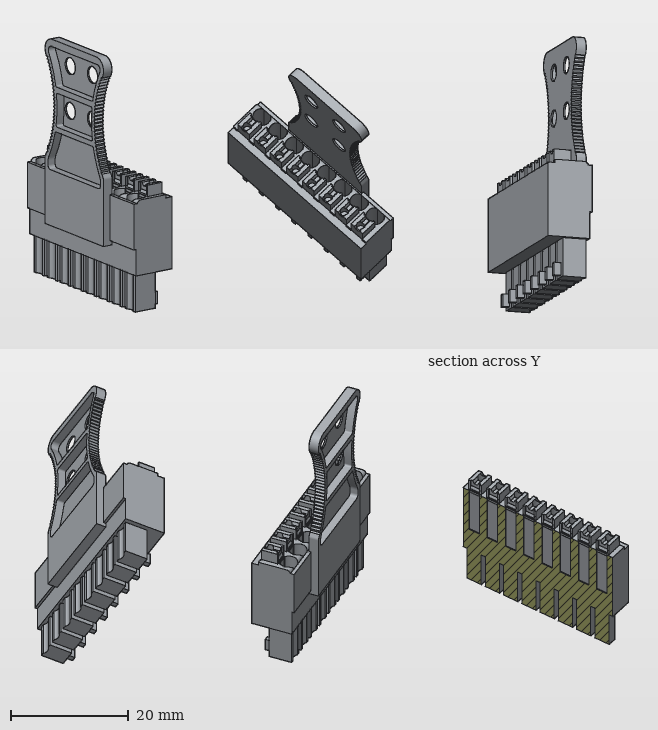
import cadquery as cq
import math


POLE_COUNT = 8
POLE_ROW_LENGTH = 26.7
POLE_PITCH = POLE_ROW_LENGTH / (POLE_COUNT - 1)
POLE_XS = [i * POLE_PITCH - POLE_ROW_LENGTH / 2 for i in range(POLE_COUNT)]

HOUSING_WIDTH = 31.25
HOUSING_BACK = 7.5
HOUSING_BOTTOM = 6.65
HOUSING_TOP = 20.0
FRONT_PAD_DEPTH = 0.45
FRONT_PAD_BOTTOM = 11.35
SHOULDER_DROP = 0.55
SHOULDER_Z = HOUSING_TOP - SHOULDER_DROP
BACK_SHOULDER_Y = 6.25
FRONT_ROUND_START = 1.0
FRONT_ROUND_RADIUS = 0.8
FRONT_ROUND_ANGLE = math.acos((FRONT_ROUND_RADIUS - SHOULDER_DROP) / FRONT_ROUND_RADIUS)
FRONT_ROUND_END = FRONT_ROUND_START - FRONT_ROUND_RADIUS * math.sin(FRONT_ROUND_ANGLE)

WIRE_HOLE_RADIUS = 1.55
WIRE_HOLE_Y = 1.6
WIRE_RECESS_WIDTH = 2.1
WIRE_RECESS_BACK = 2.95
WIRE_HOLE_DEPTH = 8.7

PRONG_WIDTH = 3.0
PRONG_FRONT = 0.4
PRONG_BACK = 4.58
GROOVE_WIDTH = 1.8
GROOVE_DEPTH = 0.35
CATCH_WIDTH = 0.87
CATCH_DEPTH = 1.2
CATCH_BOTTOM = 0.35
CATCH_TOP = 2.55

LEVER_WIDTH = 2.7
LEVER_FRONT = 3.1
LEVER_BACK = 6.1
LEVER_TOP = 22.0
CHANNEL_TOP_WIDTH = 1.2
CHANNEL_FLOOR_WIDTH = 0.65
CHANNEL_DEPTH = 0.52
TEST_HOLE_DIAMETER = 1.4
TEST_HOLE_Y = 5.2
TEST_HOLE_DEPTH = 1.75
NOTCH_WIDTH = 1.9
NOTCH_DEPTH = 0.25
NOTCH_BOTTOM = 20.27
NOTCH_SLOPE_TOP = 20.8

HANDLE_WIDTH = 17.2
HANDLE_THICKNESS = 1.8
HANDLE_BOTTOM = 10.5
HANDLE_TOP = 43.6
HANDLE_CORNER_RADIUS = 2.05
CORNER_END_Z = 40.55
LAND_END_X = 8.2

WAIST_HALF_WIDTH = 6.05
WAIST_RADIUS = 17.8
WAIST_Z = 31.83
WAIST_CENTER_X = WAIST_HALF_WIDTH + WAIST_RADIUS
TOOTH_COUNT = 27
TOOTHED_ARC_LENGTH = 17.2
TOOTH_HEIGHT = 0.3
TOOTH_ANGLE = TOOTHED_ARC_LENGTH / TOOTH_COUNT / WAIST_RADIUS
BLEND_INSET = 0.15
BLEND_RADIUS = WAIST_RADIUS + BLEND_INSET
BLEND_BEND_RADIUS = 0.8

POCKET_DEPTH = 1.5
POCKET_RIM_WIDTH = 1.0
POCKET_SIDE_RADIUS = WAIST_RADIUS + POCKET_RIM_WIDTH
UPPER_POCKET = (35.45, 42.3)
MIDDLE_POCKET = (28.4, 34.4)
LOWER_POCKET = (20.4, 27.45)
LOWER_POCKET_HALF_WIDTH = 7.67
POCKET_CORNER_RADIUS = 0.35
UPPER_POCKET_CORNER_RADIUS = 0.85
LOWER_POCKET_CORNER_RADIUS = 0.6
LOWER_POCKET_BEND_RADIUS = 1.75

HANDLE_HOLE_DIAMETER = 2.95
HANDLE_HOLE_X = 3.25
HANDLE_HOLE_ZS = (31.45, 39.35)


def box(x_center, width, y_min, y_max, z_min, z_max):
    """A block centred on x_center."""
    size = (width, y_max - y_min, z_max - z_min)
    corner = (x_center - width / 2, y_min, z_min)
    return cq.Workplane("XY").box(*size, centered=False).translate(corner)




def housing_block():
    """Stepped side profile, extruded across the full width."""
    half_angle = FRONT_ROUND_ANGLE / 2
    round_middle = (
        FRONT_ROUND_START - FRONT_ROUND_RADIUS * math.sin(half_angle),
        HOUSING_TOP - FRONT_ROUND_RADIUS * (1 - math.cos(half_angle)),
    )
    return (
        cq.Workplane("YZ", origin=(-HOUSING_WIDTH / 2, 0, 0))
        .moveTo(0, HOUSING_BOTTOM)
        .lineTo(HOUSING_BACK, HOUSING_BOTTOM)
        .lineTo(HOUSING_BACK, SHOULDER_Z)
        .lineTo(BACK_SHOULDER_Y, SHOULDER_Z)
        .lineTo(BACK_SHOULDER_Y, HOUSING_TOP)
        .lineTo(FRONT_ROUND_START, HOUSING_TOP)
        .threePointArc(round_middle, (FRONT_ROUND_END, SHOULDER_Z))
        .lineTo(-FRONT_PAD_DEPTH, SHOULDER_Z)
        .lineTo(-FRONT_PAD_DEPTH, FRONT_PAD_BOTTOM)
        .lineTo(0, FRONT_PAD_BOTTOM)
        .close()
        .extrude(HOUSING_WIDTH)
    )


def wire_hole(x):
    """Blind hole from above: round sides, flat front, square recess at the back."""
    floor_z = HOUSING_TOP - WIRE_HOLE_DEPTH
    bore = (
        cq.Workplane("XY", origin=(x, WIRE_HOLE_Y, floor_z))
        .circle(WIRE_HOLE_RADIUS)
        .extrude(WIRE_HOLE_DEPTH)
    )
    limits = box(x, 2 * WIRE_HOLE_RADIUS, FRONT_ROUND_END, WIRE_RECESS_BACK, floor_z, HOUSING_TOP)
    recess = box(x, WIRE_RECESS_WIDTH, WIRE_HOLE_Y, WIRE_RECESS_BACK, floor_z, HOUSING_TOP)
    return bore.intersect(limits).union(recess)


def lever_seat(x):
    """Slot that holds a lever, open to the back shoulder."""
    return box(x, LEVER_WIDTH, LEVER_FRONT, BACK_SHOULDER_Y, SHOULDER_Z, HOUSING_TOP)


def prong(x):
    """Prong with a shallow round groove down its front and a catch on its back."""
    body = box(x, PRONG_WIDTH, PRONG_FRONT, PRONG_BACK, 0, HOUSING_BOTTOM)
    groove = (
        cq.Workplane("XY")
        .moveTo(x - GROOVE_WIDTH / 2, PRONG_FRONT)
        .threePointArc((x, PRONG_FRONT + GROOVE_DEPTH), (x + GROOVE_WIDTH / 2, PRONG_FRONT))
        .close()
        .extrude(HOUSING_BOTTOM)
    )
    catch = box(x, CATCH_WIDTH, PRONG_BACK, PRONG_BACK + CATCH_DEPTH, CATCH_BOTTOM, CATCH_TOP)
    return body.cut(groove).union(catch)


def make_housing():
    housing = housing_block()
    handle_seat = box(0, HANDLE_WIDTH, -FRONT_PAD_DEPTH, 0, FRONT_PAD_BOTTOM, SHOULDER_Z)
    housing = housing.cut(handle_seat)
    for x in POLE_XS:
        housing = housing.cut(wire_hole(x)).cut(lever_seat(x)).union(prong(x))
    return housing




def make_lever(x):
    lever = box(x, LEVER_WIDTH, LEVER_FRONT, LEVER_BACK, SHOULDER_Z, LEVER_TOP)
    length = LEVER_BACK - LEVER_FRONT

    channel = (
        cq.Workplane("XZ", origin=(x, LEVER_BACK, LEVER_TOP))
        .moveTo(-CHANNEL_TOP_WIDTH / 2, 0)
        .lineTo(-CHANNEL_FLOOR_WIDTH / 2, -CHANNEL_DEPTH)
        .lineTo(CHANNEL_FLOOR_WIDTH / 2, -CHANNEL_DEPTH)
        .lineTo(CHANNEL_TOP_WIDTH / 2, 0)
        .close()
        .extrude(length)
    )

    test_hole = (
        cq.Workplane("XY", origin=(x, TEST_HOLE_Y, LEVER_TOP - TEST_HOLE_DEPTH))
        .circle(TEST_HOLE_DIAMETER / 2)
        .extrude(TEST_HOLE_DEPTH)
    )

    notch = (
        cq.Workplane("YZ", origin=(x - NOTCH_WIDTH / 2, LEVER_FRONT, 0))
        .moveTo(0, NOTCH_BOTTOM)
        .lineTo(NOTCH_DEPTH, NOTCH_SLOPE_TOP)
        .lineTo(NOTCH_DEPTH, LEVER_TOP)
        .lineTo(0, LEVER_TOP)
        .close()
        .extrude(NOTCH_WIDTH)
    )
    return lever.cut(channel).cut(test_hole).cut(notch)




def waist_point(radius, angle, side=1):
    """Point at a radius and elevation angle about the waist centre; side is 1 for +X, -1 for -X."""
    return (
        side * (WAIST_CENTER_X - radius * math.cos(angle)),
        WAIST_Z + radius * math.sin(angle),
    )


def tooth_points():
    """Alternating roots and tips down the +X edge, starting and ending with a root."""
    points = []
    for step in range(2 * TOOTH_COUNT + 1):
        is_tip = step % 2 == 1
        radius = WAIST_RADIUS if is_tip else WAIST_RADIUS + TOOTH_HEIGHT
        points.append(waist_point(radius, (TOOTH_COUNT - step) * TOOTH_ANGLE / 2))
    return points


def waist_level(radius, x):
    """Level below the waist where an arc about the waist centre reaches x."""
    return WAIST_Z - math.sqrt(radius**2 - (WAIST_CENTER_X - x) ** 2)


def round_upright_edge(plate, x, z, radius):
    """Fillet the one edge along Y that passes through (x, z)."""
    margin = 0.05
    edge = cq.selectors.BoxSelector(
        (x - margin, -2 * HANDLE_THICKNESS, z - margin),
        (x + margin, HANDLE_THICKNESS, z + margin),
    )
    return plate.edges(edge).fillet(radius)


def handle_half():
    """The +X half of the handle plate: top corner, teeth, then a smooth blend into the straight side."""
    half_width = HANDLE_WIDTH / 2
    corner_x = half_width - HANDLE_CORNER_RADIUS
    corner_z = HANDLE_TOP - HANDLE_CORNER_RADIUS
    corner_drop = corner_z - CORNER_END_Z
    corner_end_x = corner_x + math.sqrt(HANDLE_CORNER_RADIUS**2 - corner_drop**2)

    teeth = tooth_points()
    blend_start_angle = -(TOOTH_COUNT + 1) * TOOTH_ANGLE / 2
    blend_end_z = waist_level(BLEND_RADIUS, half_width)
    blend_end_angle = math.asin((blend_end_z - WAIST_Z) / BLEND_RADIUS)
    blend_middle_angle = (blend_start_angle + blend_end_angle) / 2

    half = (
        cq.Workplane("XZ")
        .moveTo(0, HANDLE_TOP)
        .lineTo(corner_x, HANDLE_TOP)
        .tangentArcPoint((corner_end_x, CORNER_END_Z), relative=False)
        .lineTo(LAND_END_X, teeth[0][1])
        .polyline(teeth, includeCurrent=True)
        .lineTo(*waist_point(BLEND_RADIUS, blend_start_angle))
        .threePointArc(waist_point(BLEND_RADIUS, blend_middle_angle), (half_width, blend_end_z))
        .lineTo(half_width, HANDLE_BOTTOM)
        .lineTo(0, HANDLE_BOTTOM)
        .close()
        .extrude(HANDLE_THICKNESS)
    )
    return round_upright_edge(half, half_width, blend_end_z, BLEND_BEND_RADIUS)


def pocket_side_angle(z):
    return math.asin((z - WAIST_Z) / POCKET_SIDE_RADIUS)


def waisted_pocket(z_range):
    """Pocket between two levels whose sides follow the waist, with square corners."""
    low, high = (pocket_side_angle(z) for z in z_range)
    middle = (low + high) / 2

    def side(angle, sign):
        return waist_point(POCKET_SIDE_RADIUS, angle, sign)

    return (
        cq.Workplane("XZ", origin=(0, -HANDLE_THICKNESS + POCKET_DEPTH, 0))
        .moveTo(*side(low, -1))
        .lineTo(*side(low, 1))
        .threePointArc(side(middle, 1), side(high, 1))
        .lineTo(*side(high, -1))
        .threePointArc(side(middle, -1), side(low, -1))
        .close()
        .extrude(POCKET_DEPTH)
    )


def upper_pocket():
    pocket = waisted_pocket(UPPER_POCKET)
    pocket = pocket.edges("|Y and >Z").fillet(UPPER_POCKET_CORNER_RADIUS)
    return pocket.edges("|Y and <Z").fillet(POCKET_CORNER_RADIUS)


def middle_pocket():
    return waisted_pocket(MIDDLE_POCKET).edges("|Y").fillet(POCKET_CORNER_RADIUS)


def lower_pocket():
    """Pocket that follows the waist above and has straight sides below."""
    bottom, top = LOWER_POCKET
    pocket = waisted_pocket(LOWER_POCKET)
    straight = box(0, 2 * LOWER_POCKET_HALF_WIDTH, -HANDLE_THICKNESS, 0, bottom, top)
    pocket = pocket.intersect(straight)
    pocket = pocket.edges("|Y and >Z").fillet(POCKET_CORNER_RADIUS)
    pocket = pocket.edges("|Y and <Z").fillet(LOWER_POCKET_CORNER_RADIUS)
    bend_z = waist_level(POCKET_SIDE_RADIUS, LOWER_POCKET_HALF_WIDTH)
    for bend_x in (-LOWER_POCKET_HALF_WIDTH, LOWER_POCKET_HALF_WIDTH):
        pocket = round_upright_edge(pocket, bend_x, bend_z, LOWER_POCKET_BEND_RADIUS)
    return pocket


def make_handle():
    half = handle_half()
    handle = half.union(half.mirror("YZ"))
    for pocket in (upper_pocket(), middle_pocket(), lower_pocket()):
        handle = handle.cut(pocket)
    centers = [(x, z) for x in (-HANDLE_HOLE_X, HANDLE_HOLE_X) for z in HANDLE_HOLE_ZS]
    holes = (
        cq.Workplane("XZ")
        .pushPoints(centers)
        .circle(HANDLE_HOLE_DIAMETER / 2)
        .extrude(HANDLE_THICKNESS)
    )
    return handle.cut(holes)


housing = make_housing()
handle = make_handle()
levers = [make_lever(x) for x in POLE_XS]

result = cq.Compound.makeCompound([housing.val(), handle.val(), *[lever.val() for lever in levers]])